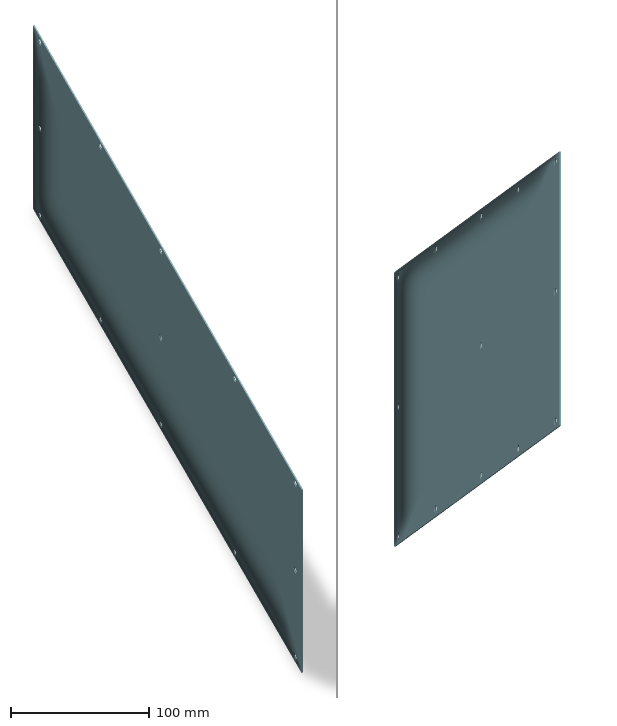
import cadquery as cq

width = 486.5
height = 202.0
thickness = 1.0
corner_radius = 1.0

hole_radius = 2.75
row_height = 95.5
outer_column = 231.0
column_pitch = 109.5

left_columns = [-outer_column + i * column_pitch for i in range(3)]
right_columns = [outer_column - column_pitch, outer_column]
edge_row = left_columns + right_columns
centre_row = [left_columns[0], left_columns[-1], outer_column]

hole_centres = [(x, z) for z in (-row_height, row_height) for x in edge_row]
hole_centres += [(x, 0) for x in centre_row]

plate = (
    cq.Workplane("XZ")
    .rect(width, height)
    .extrude(thickness / 2, both=True)
    .edges("|Y")
    .fillet(corner_radius)
)
holes = (
    cq.Workplane("XZ")
    .pushPoints(hole_centres)
    .circle(hole_radius)
    .extrude(thickness, both=True)
)
result = plate.cut(holes)